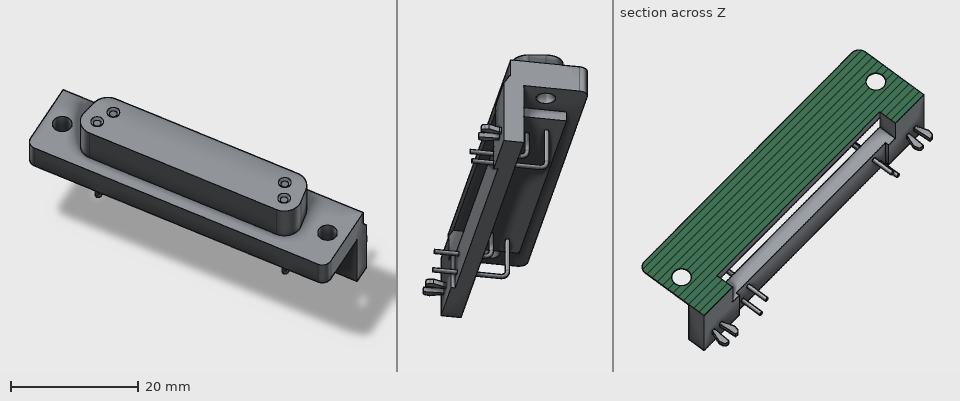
import math

import cadquery as cq


body_width = 53.2
total_height = 21.2
flange_front = -6.3
flange_back = 6.2
flange_top = 15.0
flange_thickness = 4.5
flange_bottom = flange_top - flange_thickness
flange_corner_radius = 1.5

wall_thickness = 3.2
wall_back = 7.3
wall_inner = wall_back - wall_thickness
slope_bottom = 10.6
slope_top = 12.3

relief_width = 36.1
relief_depth = 0.65
window_width = 39.3
window_bottom = 6.05
slope_per_depth = (slope_top - slope_bottom) / (wall_back - flange_back)
window_top = slope_bottom + slope_per_depth * relief_depth

block_width = 40.2
block_bottom = 8.85
block_front = -3.95

contact_pitch = 2.76
front_row_count = 13
row_spacing = 2.84
front_row_x = (front_row_count - 1) * contact_pitch / 2
back_row_x = front_row_x - contact_pitch / 2
front_row_y = -row_spacing / 2
back_row_y = row_spacing / 2
front_tail_z = 2.0
row_tail_spacing = 2.55
back_tail_z = front_tail_z + row_tail_spacing
pin_diameter = 0.7
bend_radius = 1.1
tail_end = 10.5

plug_depth = 8.0
plug_corner_radius = 2.7
plug_side_angle = 10.0
socket_mouth_diameter = 2.0
socket_floor_diameter = 1.2
socket_depth = 0.4

mounting_spacing = 47.0
mounting_hole_diameter = 3.05
clip_z = 3.1
clip_thickness = 0.85
clip_foot_inner = 0.6
clip_foot_outer = 1.2
clip_foot_height = 0.3
clip_barb_x = 1.85
clip_barb_y = 9.4
clip_tip_inner = 0.8
clip_tip_outer = 1.2
clip_shoulder_radius = 0.5
clip_embed = 1.0
clip_root = wall_back - clip_embed


def box_between(width, y_min, y_max, z_min, z_max):
    """Box centred on X = 0 between the given Y and Z limits."""
    return (
        cq.Workplane("XY", origin=(0, 0, z_min))
        .center(0, (y_min + y_max) / 2)
        .rect(width, y_max - y_min)
        .extrude(z_max - z_min)
    )


def make_body():
    """L-shaped body: flange, upright wall, and the block under the flange."""
    profile = [
        (flange_front, flange_top),
        (flange_back, flange_top),
        (flange_back, slope_top),
        (wall_back, slope_bottom),
        (wall_back, 0),
        (wall_inner, 0),
        (wall_inner, flange_bottom),
        (flange_front, flange_bottom),
    ]
    body = cq.Workplane("YZ").polyline(profile).close().extrude(body_width / 2, both=True)
    body = body.edges("|Z and <Y").fillet(flange_corner_radius)
    relief = box_between(relief_width, wall_back - relief_depth, wall_back, 0, flange_top)
    window = box_between(window_width, wall_inner, wall_back, window_bottom, window_top)
    block = box_between(block_width, block_front, wall_inner, block_bottom, flange_bottom)
    return body.cut(relief).cut(window).union(block)


def make_plug():
    """D-shaped plug, wide at the front; its wide corners are centred on the end contacts."""
    wide_corner_angle = math.radians(90 - plug_side_angle)
    wide_half = front_row_x + plug_corner_radius / math.tan(wide_corner_angle / 2)
    narrow_half = wide_half - plug_depth * math.tan(math.radians(plug_side_angle))
    outline = [
        (-wide_half, -plug_depth / 2),
        (wide_half, -plug_depth / 2),
        (narrow_half, plug_depth / 2),
        (-narrow_half, plug_depth / 2),
    ]
    return (
        cq.Workplane("XY", origin=(0, 0, flange_top))
        .polyline(outline)
        .close()
        .extrude(total_height - flange_top)
        .edges("|Z")
        .fillet(plug_corner_radius)
    )


def make_socket(x, y):
    """Shallow conical socket with a flat floor, opening at the top of the plug."""
    mouth_radius = socket_mouth_diameter / 2
    floor_radius = socket_floor_diameter / 2
    half_profile = [
        (0, 0),
        (mouth_radius, 0),
        (floor_radius, -socket_depth),
        (0, -socket_depth),
    ]
    return (
        cq.Workplane("XZ")
        .polyline(half_profile)
        .close()
        .revolve(360, (0, 0), (0, 1))
        .translate((x, y, total_height))
    )


def make_pin(x, y, tail_z):
    """Round pin running down from the block, then bending back through the wall."""
    bend_offset = bend_radius * (1 - math.sqrt(0.5))
    path = (
        cq.Workplane("YZ", origin=(x, 0, 0))
        .moveTo(y, flange_bottom)
        .lineTo(y, tail_z + bend_radius)
        .threePointArc((y + bend_offset, tail_z + bend_offset), (y + bend_radius, tail_z))
        .lineTo(tail_end, tail_z)
    )
    return cq.Workplane("XY", origin=(x, y, flange_bottom)).circle(pin_diameter / 2).sweep(path)


def make_clip_leg():
    """Right-hand barbed leg of a board clip centred on X = 0."""
    shoulder_y = tail_end - clip_shoulder_radius
    arc_middle = clip_shoulder_radius * math.sqrt(0.5)
    return (
        cq.Workplane("XY", origin=(0, 0, clip_z - clip_thickness / 2))
        .moveTo(clip_foot_inner, clip_root)
        .lineTo(clip_foot_outer, clip_root)
        .lineTo(clip_foot_outer, wall_back + clip_foot_height)
        .lineTo(clip_barb_x, clip_barb_y)
        .lineTo(clip_tip_outer + clip_shoulder_radius, shoulder_y)
        .threePointArc((clip_tip_outer + arc_middle, shoulder_y + arc_middle), (clip_tip_outer, tail_end))
        .lineTo(clip_tip_inner, tail_end)
        .lineTo(clip_foot_inner, wall_back)
        .close()
        .extrude(clip_thickness)
    )


def make_clip():
    """Board clip: two mirrored legs."""
    leg = make_clip_leg()
    return leg.union(leg.mirror("YZ"))


result = make_body().union(make_plug())

contact_rows = [
    (front_row_x, front_row_y, front_tail_z),
    (back_row_x, back_row_y, back_tail_z),
]
for row_x, row_y, tail_z in contact_rows:
    for side in (-1, 1):
        result = result.cut(make_socket(side * row_x, row_y))
        result = result.union(make_pin(side * row_x, row_y, tail_z))

for side in (-1, 1):
    mounting_x = side * mounting_spacing / 2
    mounting_hole = (
        cq.Workplane("XY", origin=(mounting_x, 0, flange_bottom))
        .circle(mounting_hole_diameter / 2)
        .extrude(flange_thickness)
    )
    result = result.cut(mounting_hole)
    result = result.union(make_clip().translate((mounting_x, 0, 0)))